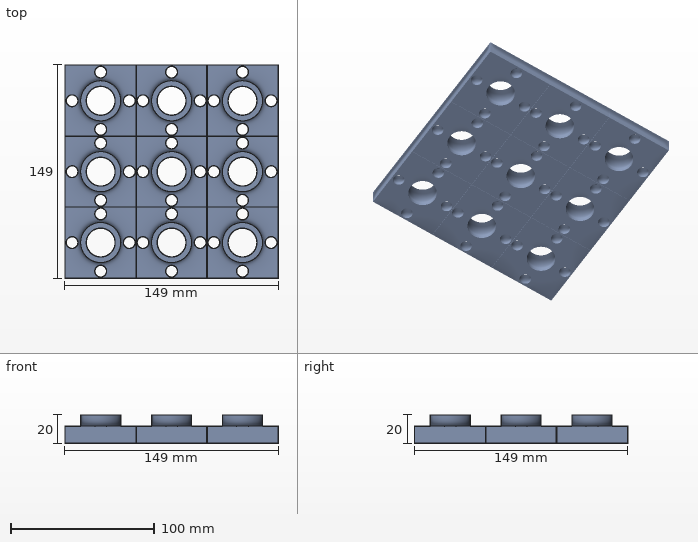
import cadquery as cq

OVERALL_SIZE = 149.0
TILES_PER_SIDE = 3
TILE_PITCH = 49.5
TILE_GAP = 0.1

TOTAL_HEIGHT = 20.0
PLATE_THICKNESS = 12.0
COLLAR_DIAMETER = 28.0
BORE_DIAMETER = 20.0
BOLT_HOLE_DIAMETER = 8.0
BOLT_CIRCLE_RADIUS = 20.0
BOLT_HOLE_COUNT = 4

COLLAR_HEIGHT = TOTAL_HEIGHT - PLATE_THICKNESS
LAST_INDEX = TILES_PER_SIDE - 1
INNER_REACH = (TILE_PITCH - TILE_GAP) / 2
OUTER_REACH = (OVERALL_SIZE - LAST_INDEX * TILE_PITCH) / 2


def plate_span(index):
    """Lower and upper plate limits along one axis, measured from the collar centre."""
    lower = -OUTER_REACH if index == 0 else -INNER_REACH
    upper = OUTER_REACH if index == LAST_INDEX else INNER_REACH
    return lower, upper


def make_plate(column, row):
    """Plain plate resting on Z = 0, reaching slightly further on sides at the array's rim."""
    x_min, x_max = plate_span(column)
    y_min, y_max = plate_span(row)
    plate = cq.Workplane("XY").box(x_max - x_min, y_max - y_min, PLATE_THICKNESS, centered=False)
    return plate.translate((x_min, y_min, 0))


def make_collar():
    """Solid round collar standing on top of the plate."""
    return (
        cq.Workplane("XY")
        .workplane(offset=PLATE_THICKNESS)
        .circle(COLLAR_DIAMETER / 2)
        .extrude(COLLAR_HEIGHT)
    )


def make_bore():
    """Cutter for the central through bore."""
    return cq.Workplane("XY").circle(BORE_DIAMETER / 2).extrude(TOTAL_HEIGHT)


def make_bolt_holes():
    """Cutters for the through holes, one toward the middle of each plate side."""
    return (
        cq.Workplane("XY")
        .polarArray(BOLT_CIRCLE_RADIUS, 0, 360, BOLT_HOLE_COUNT)
        .circle(BOLT_HOLE_DIAMETER / 2)
        .extrude(PLATE_THICKNESS)
    )


def make_collar_tile(column, row):
    """One complete tile, with its collar centred on its place in the grid."""
    tile = make_plate(column, row).union(make_collar())
    tile = tile.cut(make_bore()).cut(make_bolt_holes())
    grid_start = -LAST_INDEX * TILE_PITCH / 2
    return tile.translate((grid_start + column * TILE_PITCH, grid_start + row * TILE_PITCH, 0))


collar_tiles = []
for row in range(TILES_PER_SIDE):
    for column in range(TILES_PER_SIDE):
        collar_tiles.append(make_collar_tile(column, row).solids().val())

result = cq.Compound.makeCompound(collar_tiles)